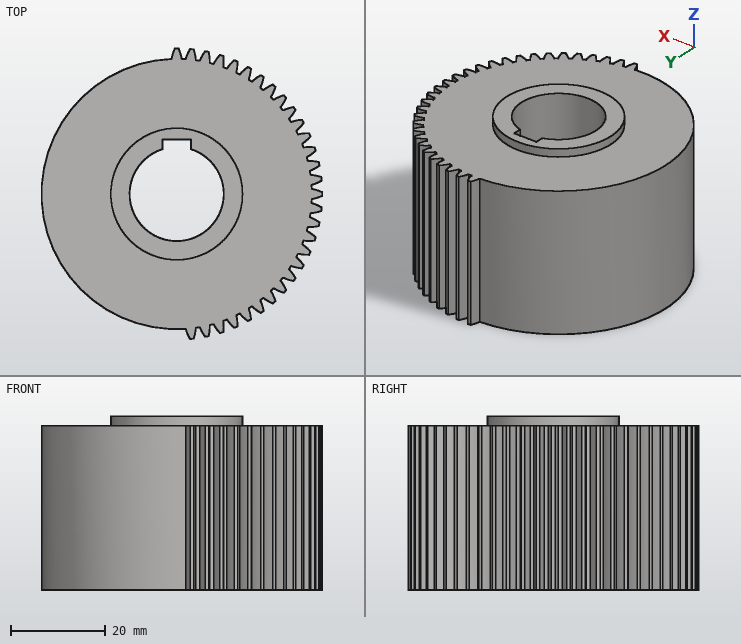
import cadquery as cq
import math

tooth_pitch_count = 60
tooth_count = 30
tip_radius = 31.0
root_radius = 28.8
pitch_radius = 30.0
pressure_angle = math.radians(20)
first_tooth_angle = 90.0
body_height = 35.0

hub_diameter = 28.0
hub_height = 2.0
bore_diameter = 20.0
key_width = 6.0
key_reach = 11.6

total_height = body_height + hub_height
pitch_step = 360.0 / tooth_pitch_count
base_radius = pitch_radius * math.cos(pressure_angle)
flank_points = 4
tooth_overlap = 0.6


def involute(angle):
    return math.tan(angle) - angle


def half_tooth_angle(radius):
    """Half the angle a tooth spans at the given radius, in radians."""
    half_at_pitch = math.pi / (2 * tooth_pitch_count)
    local_pressure = math.acos(base_radius / radius)
    return half_at_pitch + involute(pressure_angle) - involute(local_pressure)


def polar(radius, angle):
    return (radius * math.cos(angle), radius * math.sin(angle))


def make_tooth():
    """One involute tooth pointing along +X."""
    step = (tip_radius - root_radius) / (flank_points - 1)
    radii = [root_radius + i * step for i in range(flank_points)]
    lower_flank = [polar(r, -half_tooth_angle(r)) for r in radii]
    upper_flank = [polar(r, half_tooth_angle(r)) for r in reversed(radii)]
    foot_radius = root_radius - tooth_overlap
    foot_angle = half_tooth_angle(root_radius)
    return (
        cq.Workplane("XY")
        .moveTo(*polar(foot_radius, -foot_angle))
        .lineTo(*lower_flank[0])
        .spline(lower_flank[1:], includeCurrent=True)
        .threePointArc((tip_radius, 0), upper_flank[0])
        .spline(upper_flank[1:], includeCurrent=True)
        .lineTo(*polar(foot_radius, foot_angle))
        .close()
        .extrude(body_height)
    )


def make_body():
    body = cq.Workplane("XY").circle(root_radius).extrude(body_height)
    hub = cq.Workplane("XY").circle(hub_diameter / 2).extrude(total_height)
    return body.union(hub)


def make_keyed_bore():
    bore = cq.Workplane("XY").circle(bore_diameter / 2).extrude(total_height)
    keyway = (
        cq.Workplane("XY")
        .center(0, key_reach / 2)
        .rect(key_width, key_reach)
        .extrude(total_height)
    )
    return bore.union(keyway)


tooth = make_tooth()
result = make_body()
for index in range(tooth_count):
    angle = first_tooth_angle - index * pitch_step
    result = result.union(tooth.rotate((0, 0, 0), (0, 0, 1), angle))
result = result.cut(make_keyed_bore())